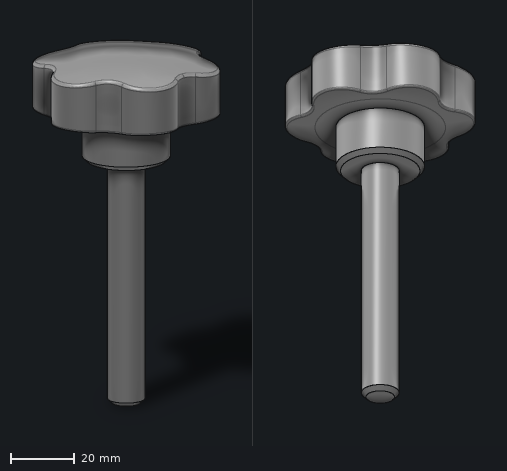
import cadquery as cq
import math

total_height = 114.5
tip_radius = 30.1
lobe_count = 6
lobe_radius = 10.5
valley_radius = 7.73
grip_bottom = 94.7
dome_height = 4.0
top_fillet = 1.1

underside_flat_radius = 20.6
underside_rise = 0.8
underside_fillet = 0.7

hub_diameter = 28.0
hub_bottom = 79.5
hub_chamfer = 1.5

stem_diameter = 12.0
stem_chamfer = 1.5

lobe_centre = tip_radius - lobe_radius
half_pitch = math.pi / lobe_count
valley_centre = lobe_centre * math.cos(half_pitch) + math.sqrt(
    (lobe_radius + valley_radius) ** 2 - (lobe_centre * math.sin(half_pitch)) ** 2
)


def polar(radius, angle):
    return (radius * math.cos(angle), radius * math.sin(angle))


def touch_point(lobe_angle, valley_angle):
    """Point where a lobe arc meets a valley arc."""
    lobe = polar(lobe_centre, lobe_angle)
    valley = polar(valley_centre, valley_angle)
    share = lobe_radius / (lobe_radius + valley_radius)
    return tuple(a + share * (b - a) for a, b in zip(lobe, valley))


def lobed_prism():
    """Upright prism with rounded lobes, the first one on +Y."""
    first_lobe = math.pi / 2
    outline = cq.Workplane("XY", origin=(0, 0, grip_bottom))
    outline = outline.moveTo(*touch_point(first_lobe, first_lobe - half_pitch))
    for index in range(lobe_count):
        lobe_angle = first_lobe + index * 2 * half_pitch
        valley_angle = lobe_angle + half_pitch
        next_lobe = valley_angle + half_pitch
        outline = outline.threePointArc(
            polar(tip_radius, lobe_angle), touch_point(lobe_angle, valley_angle)
        )
        outline = outline.threePointArc(
            polar(valley_centre - valley_radius, valley_angle),
            touch_point(next_lobe, valley_angle),
        )
    return outline.close().extrude(total_height - grip_bottom)


def grip_envelope():
    """Turned shape with a domed top and an underside that curves up at the rim."""
    margin = 1.1
    rim = tip_radius + margin
    sphere_radius = (tip_radius**2 + dome_height**2) / (2 * dome_height)

    def dome_z(radius):
        return total_height - sphere_radius + math.sqrt(sphere_radius**2 - radius**2)

    arc_run = tip_radius - underside_flat_radius
    arc_radius = (arc_run**2 + underside_rise**2) / (2 * underside_rise)
    rim_run = rim - underside_flat_radius
    rim_bottom = grip_bottom + arc_radius - math.sqrt(arc_radius**2 - rim_run**2)
    return (
        cq.Workplane("XZ")
        .moveTo(0, grip_bottom)
        .lineTo(underside_flat_radius, grip_bottom)
        .tangentArcPoint((rim, rim_bottom), relative=False)
        .lineTo(rim, dome_z(rim))
        .threePointArc((rim / 2, dome_z(rim / 2)), (0, total_height))
        .close()
        .revolve(360, (0, 0, 0), (0, 1, 0))
    )


def make_grip():
    grip = lobed_prism().intersect(grip_envelope())
    grip = grip.faces(">Z").edges().fillet(top_fillet)
    valley_wall = valley_centre - valley_radius
    underside_rim = [
        edge
        for edge in grip.edges().vals()
        if edge.Center().z < grip_bottom + 2 * underside_rise
        and math.hypot(*edge.startPoint().toTuple()[:2]) > valley_wall - underside_fillet
    ]
    return grip.newObject(underside_rim).fillet(underside_fillet)


def turned_post(diameter, bottom, top, chamfer):
    post = cq.Workplane("XY", origin=(0, 0, bottom)).circle(diameter / 2).extrude(top - bottom)
    return post.faces("<Z").chamfer(chamfer)


hub = turned_post(hub_diameter, hub_bottom, grip_bottom, hub_chamfer)
stem = turned_post(stem_diameter, 0, hub_bottom, stem_chamfer)
result = make_grip().union(hub).union(stem)